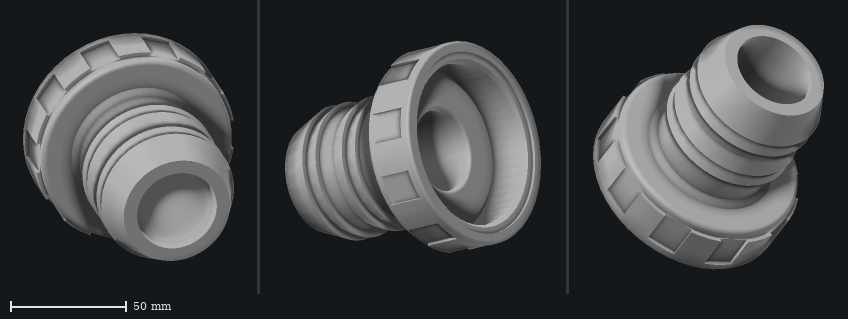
import cadquery as cq


nut_radius = 45.0
nut_front_fillet = 1.3
grip_end = 21.0
collar_radius = 43.0
collar_fillet = 2.2
nut_length = 25.2

mouth_radius = 40.3
mouth_depth = 1.5
bore_radius = 36.0
lead_in_height = 1.3
lead_in_length = 1.6
floor_position = grip_end
outlet_radius = 30.0

grip_count = 10
grip_start = 4.2
grip_width = 13.6
grip_floor_radius = collar_radius

head_radius = 33.0
head_thickness = 2.8
head_position = floor_position - head_thickness
passage_radius = 18.0
passage_fillet = 1.5
neck_radius = outlet_radius
barb_radius = 30.0
shank_radius = 27.0
tip_radius = 24.0
root_end = 28.0
barb_length = 7.5
first_barb = 43.0
tip_barb_length = 2 * barb_length
second_pair = first_barb + 3 * barb_length
tail_end = second_pair + barb_length + tip_barb_length


def turn(outline):
    """Revolve an outline of (position along X, radius) about the X axis."""
    return outline.close().revolve(360, (0, 0, 0), (1, 0, 0))


def make_nut():
    outline = (
        cq.Workplane("XZ")
        .moveTo(0, mouth_radius)
        .lineTo(0, nut_radius - nut_front_fillet)
        .radiusArc((nut_front_fillet, nut_radius), nut_front_fillet)
        .lineTo(grip_end, nut_radius)
        .lineTo(grip_end, collar_radius)
        .lineTo(nut_length - collar_fillet, collar_radius)
        .radiusArc((nut_length, collar_radius - collar_fillet), collar_fillet)
        .lineTo(nut_length, outlet_radius)
        .lineTo(floor_position, outlet_radius)
        .lineTo(floor_position, bore_radius)
        .lineTo(mouth_depth + lead_in_length, bore_radius)
        .lineTo(mouth_depth, bore_radius + lead_in_height)
        .lineTo(mouth_depth, mouth_radius)
    )
    nut = turn(outline)

    grip_length = grip_end - grip_start
    recess_height = 2 * (nut_radius - grip_floor_radius)
    recess = (
        cq.Workplane("XY")
        .box(grip_length, recess_height, grip_width, centered=(False, False, True))
        .translate((grip_start, -grip_floor_radius - recess_height, 0))
    )
    for index in range(grip_count):
        angle = index * 360 / grip_count
        nut = nut.cut(recess.rotate((0, 0, 0), (1, 0, 0), angle))
    return nut


def make_tail():
    outline = (
        cq.Workplane("XZ")
        .moveTo(head_position + passage_fillet, passage_radius)
        .radiusArc((head_position, passage_radius + passage_fillet), passage_fillet)
        .lineTo(head_position, head_radius)
        .lineTo(floor_position, head_radius)
        .lineTo(floor_position, neck_radius)
        .lineTo(nut_length, neck_radius)
        .lineTo(root_end, shank_radius)
    )
    for pair_start, second_end, second_end_radius in (
        (first_barb, second_pair - barb_length, shank_radius),
        (second_pair, tail_end, tip_radius),
    ):
        second_start = pair_start + barb_length
        outline = (
            outline.lineTo(pair_start, shank_radius)
            .lineTo(pair_start, barb_radius)
            .lineTo(second_start, shank_radius)
            .lineTo(second_start, barb_radius)
            .lineTo(second_end, second_end_radius)
        )
    outline = outline.lineTo(tail_end, passage_radius)
    return turn(outline)


nut = make_nut()
tail = make_tail()
result = cq.Compound.makeCompound([nut.solids().val(), tail.val()])